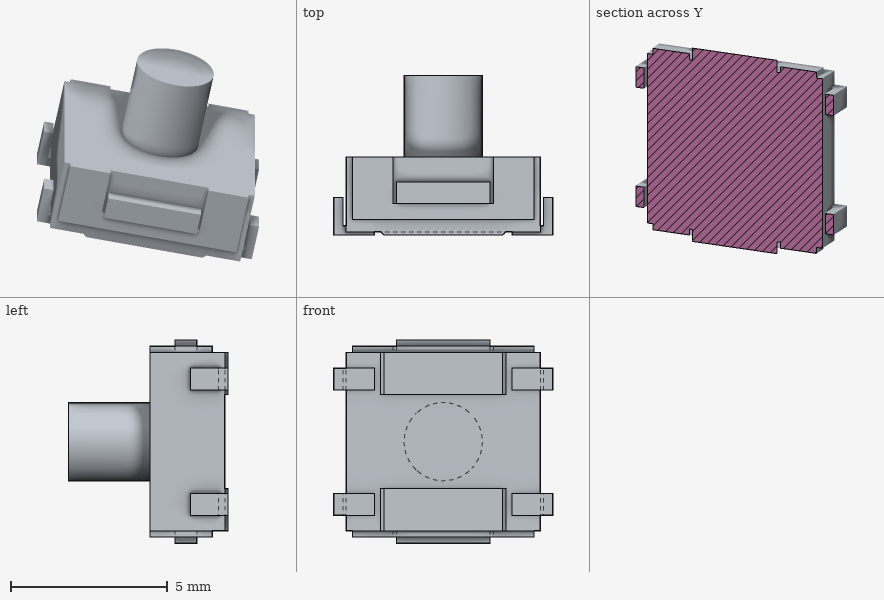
import cadquery as cq


body_width = 6.2
body_height = 5.7
standoff = 0.1
top_y = 2.5

flange_width = 5.8
flange_thickness = 0.2
flange_start_y = 0.5
window_width = 3.2
window_start_y = 1.0

tab_width = 3.0
tab_length_y = 0.7
tab_rise = 0.2

foot_base_width = 4.0
foot_height = 1.35

lead_span = 7.0
lead_width = 0.7
lead_thickness = 0.3
lead_reach = 1.3
lead_top_y = 1.2
lead_pitch = 4.0

button_diameter = 2.5
button_top_y = 5.1


def block(x_range, y_range, z_range):
    """Box between the given limits on each axis."""
    size = [end - start for start, end in (x_range, y_range, z_range)]
    corner = (x_range[0], y_range[0], z_range[0])
    return cq.Workplane("XY").box(*size, centered=False).translate(corner)


def centred(width):
    """Limits of a span centred on zero."""
    return (-width / 2, width / 2)


def make_housing():
    """Rectangular housing, raised above the solder plane."""
    return block(centred(body_width), (standoff, top_y), centred(body_height))


def make_flange():
    """Upper cover flange with its window and latch tab."""
    inner_z = body_height / 2
    outer_z = inner_z + flange_thickness
    flange = block(centred(flange_width), (flange_start_y, top_y), (inner_z, outer_z))
    window = block(centred(window_width), (window_start_y, top_y), (inner_z, outer_z))
    tab_y = (window_start_y, window_start_y + tab_length_y)
    tab = block(centred(tab_width), tab_y, (inner_z, outer_z + tab_rise))
    return flange.cut(window).union(tab)


def make_foot():
    """Upper foot, with ends sloping at 45 degrees."""
    base_x = foot_base_width / 2
    tip_x = base_x - standoff
    return (
        cq.Workplane("XY", origin=(0, 0, body_height / 2 - foot_height))
        .polyline([(-base_x, standoff), (-tip_x, 0), (tip_x, 0), (base_x, standoff)])
        .close()
        .extrude(foot_height)
    )


def make_lead():
    """Upper right L-shaped lead, embedded in the housing floor."""
    outer_x = lead_span / 2
    lead_z = (lead_pitch / 2 - lead_width / 2, lead_pitch / 2 + lead_width / 2)
    sole = block((outer_x - lead_reach, outer_x), (0, lead_thickness), lead_z)
    upright = block((outer_x - lead_thickness, outer_x), (0, lead_top_y), lead_z)
    return sole.union(upright)


def make_button():
    """Round push button on the +Y face of the housing."""
    button = cq.Workplane("XZ", origin=(0, button_top_y, 0)).circle(button_diameter / 2)
    return button.extrude(button_top_y - top_y)


upper_leads = make_lead().union(make_lead().mirror("YZ"))
result = make_housing().union(make_button())
for part in (make_flange(), make_foot(), upper_leads):
    result = result.union(part).union(part.mirror("XY"))